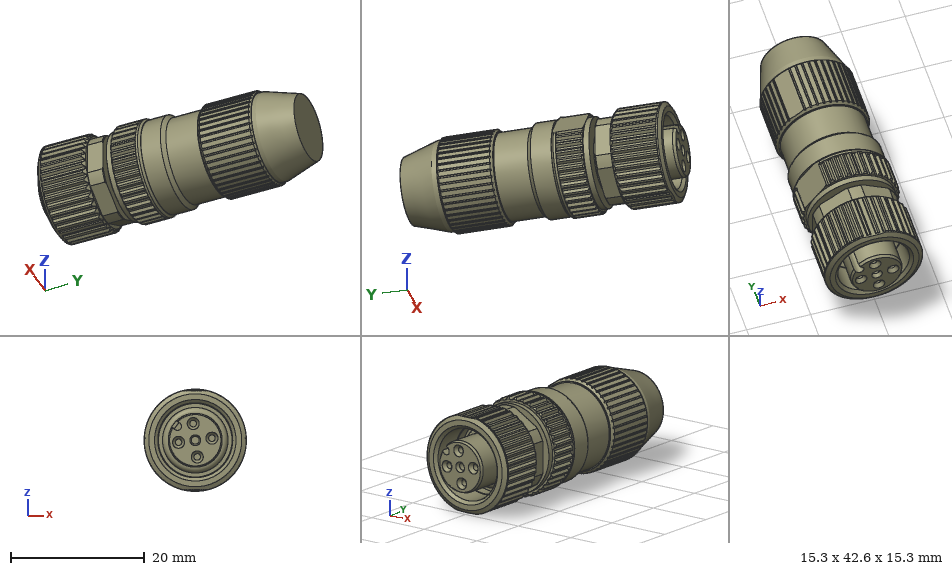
import cadquery as cq
import math


length = 42.65
nut_front = 1.32
nut_back = 9.3
hex_back = 11.85
neck_back = 12.62
ring_front = 13.5
ring_back = 18.42
body_step_front = 21.65
body_step_back = 22.3
grip_front = 27.55
grip_back = 36.42
cone_front = 37.2

knurl_diameter = 15.3
nut_face_diameter = 13.9
hex_corner_diameter = 14.0
hex_across_flats = 13.0
neck_front_diameter = 10.0
neck_back_diameter = 9.13
collar_diameter = 14.0
body_diameter = 14.7
waist_diameter = 13.5
cone_diameter = 13.9
cable_end_diameter = 10.5

nut_front_chamfer = 0.43
nut_back_chamfer = 0.5
hex_chamfer = 0.13
ring_front_chamfer = 0.25
ring_back_chamfer = 0.4
grip_front_chamfer = 0.5
grip_back_chamfer = 0.3

coarse_knurl = (36, 0.4, 0.3, 0.35)
fine_flutes = (45, 0.13, 0.73, 0.2)
nut_knurl_front = 2.0
ring_knurl_back = 17.65
nut_flat_distance = 7.4

key_angle = 142.0
grip_flat_angle = 124.0
grip_flat_distance = 7.25
ring_flat_distance = 7.0

insert_diameter = 8.05
insert_tip_diameter = 7.68
insert_tip_length = 0.45
socket_mouth_diameter = 12.2
socket_diameter = 11.2
thread_diameter = 11.0
thread_front = 5.95
socket_floor = 7.68
seal_diameter = 9.8
seal_height = 1.05
key_slot_diameter = 1.2
key_slot_radius = 3.35
key_slot_depth = 7.25
key_seal_radius = 3.55

outer_contact_count = 4
contact_circle_radius = 2.5
contact_taper_depth = 0.65
contact_depth = 4.25
center_contact = (1.6, 1.2)
outer_contact = (1.8, 1.0)


def revolved(points):
    """Solid of revolution about Y from (radius, y) points."""
    return cq.Workplane("XY").polyline(points).close().revolve(360, (0, 0, 0), (0, 1, 0))


def section_at(y):
    """Sketch plane across the axis; local x and y are X and Z, and extruding by -h goes toward +Y."""
    return cq.Workplane("XZ", origin=(0, y, 0))


def polar(radius, angle):
    return radius * math.cos(math.radians(angle)), radius * math.sin(math.radians(angle))


def groove_cutter(knurl, outer_diameter, y_start, y_end, first_land_angle, smooth_half_angle=0.0):
    """Material between trapezoidal grooves and a larger cylinder. Grooves closer than
    smooth_half_angle to the first land are left out."""
    count, depth, land_width, floor_width = knurl
    outer_radius = outer_diameter / 2
    pitch = 360 / count
    half_land = math.degrees(land_width / outer_diameter)
    half_floor = math.degrees(floor_width / outer_diameter)
    outline = []
    for index in range(count):
        land_angle = first_land_angle + index * pitch
        floor_angle = land_angle + pitch / 2
        offset = (index + 0.5) * pitch
        outline.append(polar(outer_radius, land_angle - half_land))
        outline.append(polar(outer_radius, land_angle + half_land))
        if min(offset, 360 - offset) > smooth_half_angle:
            outline.append(polar(outer_radius - depth, floor_angle - half_floor))
            outline.append(polar(outer_radius - depth, floor_angle + half_floor))
    run = y_start - y_end
    toothed = section_at(y_start).polyline(outline).close().extrude(run)
    return section_at(y_start).circle(outer_diameter).extrude(run).cut(toothed)


def flat_cutter(angle, distance, y_start, y_end):
    """Block that leaves a flat at the given distance from the axis."""
    block = cq.Workplane("XY").box(
        knurl_diameter, y_end - y_start, knurl_diameter, centered=(False, False, True)
    )
    return block.translate((distance, y_start, 0)).rotate((0, 0, 0), (0, 1, 0), -angle)


def coupling_nut():
    outer = knurl_diameter / 2
    face = nut_face_diameter / 2
    nut = revolved([
        (0, nut_front),
        (face, nut_front),
        (outer, nut_front + nut_front_chamfer),
        (outer, nut_back - nut_back_chamfer),
        (outer - nut_back_chamfer, nut_back),
        (0, nut_back),
    ])
    nut = nut.cut(groove_cutter(coarse_knurl, knurl_diameter, nut_knurl_front, nut_back, 0))
    for angle in (90, 270):
        nut = nut.cut(flat_cutter(angle, nut_flat_distance, nut_front, nut_back))
    return nut


def nut_hexagon():
    corner = hex_corner_diameter / 2
    rounded = revolved([
        (0, nut_back),
        (corner, nut_back),
        (corner, hex_back - hex_chamfer),
        (corner - hex_chamfer, hex_back),
        (0, hex_back),
    ])
    sharp_corner_diameter = hex_across_flats / math.cos(math.radians(30))
    prism = section_at(nut_back).polygon(6, sharp_corner_diameter).extrude(nut_back - hex_back)
    return rounded.intersect(prism.rotate((0, 0, 0), (0, 1, 0), 30))


def housing():
    waist = waist_diameter / 2
    body = body_diameter / 2
    collar = collar_diameter / 2
    cone = cone_diameter / 2
    return revolved([
        (0, hex_back),
        (neck_front_diameter / 2, hex_back),
        (neck_back_diameter / 2, neck_back),
        (collar, neck_back),
        (collar, ring_back),
        (body, ring_back),
        (body, body_step_front),
        (waist, body_step_back),
        (waist, grip_front),
        (cone, grip_front),
        (cone, cone_front),
        (cable_end_diameter / 2, length),
        (0, length),
    ])


def knurled_ring():
    outer = knurl_diameter / 2
    ring = revolved([
        (0, ring_front),
        (outer - ring_front_chamfer, ring_front),
        (outer, ring_front + ring_front_chamfer),
        (outer, ring_back - ring_back_chamfer),
        (outer - ring_back_chamfer, ring_back),
        (0, ring_back),
    ])
    smooth_half_angle = 2 * 360 / coarse_knurl[0]
    ring = ring.cut(
        groove_cutter(coarse_knurl, knurl_diameter, ring_front, ring_knurl_back, key_angle, smooth_half_angle)
    )
    return ring.cut(flat_cutter(key_angle, ring_flat_distance, ring_front, ring_back))


def clamping_grip():
    outer = body_diameter / 2
    grip = revolved([
        (0, grip_front),
        (outer - grip_front_chamfer, grip_front),
        (outer, grip_front + grip_front_chamfer),
        (outer, grip_back - grip_back_chamfer),
        (outer - grip_back_chamfer, grip_back),
        (0, grip_back),
    ])
    flute_pitch = 360 / fine_flutes[0]
    grip = grip.cut(
        groove_cutter(fine_flutes, body_diameter, grip_front, grip_back, grip_flat_angle, flute_pitch)
    )
    return grip.cut(flat_cutter(grip_flat_angle, grip_flat_distance, grip_front, grip_back))


def socket():
    """Stepped bore of the nut, which holds the contact insert and the seal."""
    mouth = socket_mouth_diameter / 2
    bore = socket_diameter / 2
    return revolved([
        (0, nut_front),
        (mouth, nut_front),
        (bore, nut_front + mouth - bore),
        (bore, thread_front),
        (thread_diameter / 2, thread_front),
        (thread_diameter / 2, socket_floor),
        (0, socket_floor),
    ])


def contact_hole(diameters, x, z):
    mouth, core = diameters
    hole = revolved([
        (0, 0),
        (mouth / 2, 0),
        (core / 2, contact_taper_depth),
        (core / 2, contact_depth),
        (0, contact_depth),
    ])
    return hole.translate((x, 0, z))


def contact_insert():
    outer = insert_diameter / 2
    insert = revolved([
        (0, 0),
        (insert_tip_diameter / 2, 0),
        (outer, insert_tip_length),
        (outer, socket_floor),
        (0, socket_floor),
    ])
    slot_length = 3 * key_slot_diameter
    slot = (
        section_at(0)
        .center(key_slot_radius + (slot_length - key_slot_diameter) / 2, 0)
        .slot2D(slot_length, key_slot_diameter)
        .extrude(-key_slot_depth)
        .rotate((0, 0, 0), (0, 1, 0), -key_angle)
    )
    insert = insert.cut(slot)
    insert = insert.cut(contact_hole(center_contact, 0, 0))
    contact_pitch = 360 / outer_contact_count
    for index in range(outer_contact_count):
        x, z = polar(contact_circle_radius, key_angle + (index + 0.5) * contact_pitch)
        insert = insert.cut(contact_hole(outer_contact, x, z))
    return insert


def seal():
    """Sealing ring on the socket floor with a rounded outer edge and a tongue in the key slot."""
    outer = seal_diameter / 2
    inner = insert_diameter / 2
    front = socket_floor - seal_height
    bulge = outer - inner
    ring = (
        cq.Workplane("XY")
        .moveTo(inner, socket_floor)
        .lineTo(inner, front)
        .radiusArc((outer, front + bulge), -bulge)
        .lineTo(outer, socket_floor)
        .close()
        .revolve(360, (0, 0, 0), (0, 1, 0))
    )
    tongue = cq.Workplane("XY").box(
        inner - key_seal_radius, seal_height, key_slot_diameter, centered=(False, False, True)
    )
    tongue = tongue.translate((key_seal_radius, front, 0)).rotate((0, 0, 0), (0, 1, 0), -key_angle)
    return ring.union(tongue)


result = coupling_nut().cut(socket())
result = result.union(contact_insert()).union(seal())
result = result.union(nut_hexagon()).union(housing()).union(knurled_ring()).union(clamping_grip())